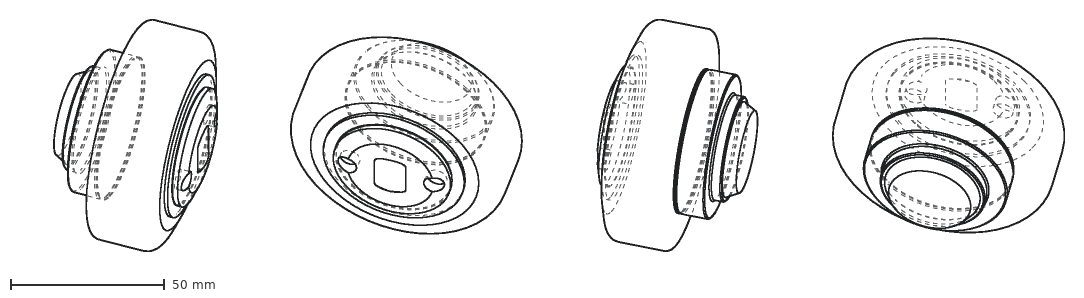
import cadquery as cq
import math


LENGTH = 48.0
JOURNAL_START = 4.05
JOURNAL_END = 7.4
COLLAR_START = 8.05
GROOVE_START = 17.35
GROOVE_END = 18.1
TYRE_START = 18.45
TYRE_END = 41.5
RING_END = 42.6
CAP_START = 42.8
CAP_CONE_START = 44.65
CAP_END = 46.6

NOSE_RADIUS = 13.7
NOSE_BASE_RADIUS = 15.95
JOURNAL_RADIUS = 17.5
JOURNAL_FLARE_RADIUS = 18.0
COLLAR_RADIUS = 24.0
TYRE_RADIUS = 36.9
CAP_RADIUS = 19.9
CAP_NECK_RADIUS = 19.55

EDGE_CHAMFER = 0.45
GROOVE_DEPTH = 0.4
TYRE_BACK_FILLET = 2.1
TYRE_FRONT_FILLET = 4.0
TYRE_CONE_LENGTH = 2.1
CONE_ANGLE = math.radians(70)

CROSS_ROLLER_RADIUS = 10.8
CROSS_ROLLER_LENGTH = 15.05
CROSS_ROLLER_FILLET = 2.1
HOLE_RADIUS = 3.3
HOLE_OFFSET = 14.75
HOLE_DEPTH = 3.7


def make_body():
    """Revolve the half outline of the pin, collar, tyre and cap about X."""
    arc_length_x = TYRE_FRONT_FILLET * math.sin(CONE_ANGLE)
    cone_length = TYRE_CONE_LENGTH
    cone_start = TYRE_END - cone_length
    arc_start = cone_start - arc_length_x
    arc_center_radius = TYRE_RADIUS - TYRE_FRONT_FILLET
    cone_start_radius = arc_center_radius + TYRE_FRONT_FILLET * math.cos(CONE_ANGLE)
    tyre_face_radius = cone_start_radius - cone_length * math.tan(CONE_ANGLE)
    arc_middle = (
        arc_start + TYRE_FRONT_FILLET * math.sin(CONE_ANGLE / 2),
        arc_center_radius + TYRE_FRONT_FILLET * math.cos(CONE_ANGLE / 2),
    )
    back_middle_offset = TYRE_BACK_FILLET * (1 - math.sqrt(0.5))
    cap_face_radius = CAP_RADIUS - (CAP_END - CAP_CONE_START) * math.tan(CONE_ANGLE)

    outline = (
        cq.Workplane("XY")
        .moveTo(0, 0)
        .lineTo(0, NOSE_RADIUS)
        .lineTo(JOURNAL_START, NOSE_BASE_RADIUS)
        .lineTo(JOURNAL_START, JOURNAL_RADIUS - EDGE_CHAMFER)
        .lineTo(JOURNAL_START + EDGE_CHAMFER, JOURNAL_RADIUS)
        .lineTo(JOURNAL_END, JOURNAL_RADIUS)
        .lineTo(COLLAR_START, JOURNAL_FLARE_RADIUS)
        .lineTo(COLLAR_START, COLLAR_RADIUS - EDGE_CHAMFER)
        .lineTo(COLLAR_START + EDGE_CHAMFER, COLLAR_RADIUS)
        .lineTo(GROOVE_START, COLLAR_RADIUS)
        .lineTo((GROOVE_START + GROOVE_END) / 2, COLLAR_RADIUS - GROOVE_DEPTH)
        .lineTo(GROOVE_END, COLLAR_RADIUS)
        .lineTo(TYRE_START, COLLAR_RADIUS)
        .lineTo(TYRE_START, TYRE_RADIUS - TYRE_BACK_FILLET)
        .threePointArc(
            (TYRE_START + back_middle_offset, TYRE_RADIUS - back_middle_offset),
            (TYRE_START + TYRE_BACK_FILLET, TYRE_RADIUS),
        )
        .lineTo(arc_start, TYRE_RADIUS)
        .threePointArc(arc_middle, (cone_start, cone_start_radius))
        .lineTo(TYRE_END, tyre_face_radius)
        .lineTo(TYRE_END, COLLAR_RADIUS)
        .lineTo(RING_END, COLLAR_RADIUS)
        .lineTo(RING_END, CAP_NECK_RADIUS)
        .lineTo(CAP_START, CAP_NECK_RADIUS)
        .lineTo(CAP_START, CAP_RADIUS)
        .lineTo(CAP_CONE_START, CAP_RADIUS)
        .lineTo(CAP_END, cap_face_radius)
        .lineTo(CAP_END, 0)
        .close()
    )
    return outline.revolve(360, (0, 0, 0), (1, 0, 0))


def make_cross_roller():
    """Roller lying along Z, sunk in the cap so that only its crown stands out."""
    return (
        cq.Workplane("XY")
        .center(LENGTH - CROSS_ROLLER_RADIUS, 0)
        .circle(CROSS_ROLLER_RADIUS)
        .extrude(CROSS_ROLLER_LENGTH / 2, both=True)
        .edges("%CIRCLE")
        .fillet(CROSS_ROLLER_FILLET)
    )


def make_cap_holes():
    """Pair of blind holes breaking through the rim of the cap face."""
    return (
        cq.Workplane("YZ", origin=(CAP_END, 0, 0))
        .pushPoints([(-HOLE_OFFSET, 0), (HOLE_OFFSET, 0)])
        .circle(HOLE_RADIUS)
        .extrude(-HOLE_DEPTH)
    )


result = make_body().cut(make_cap_holes()).union(make_cross_roller())